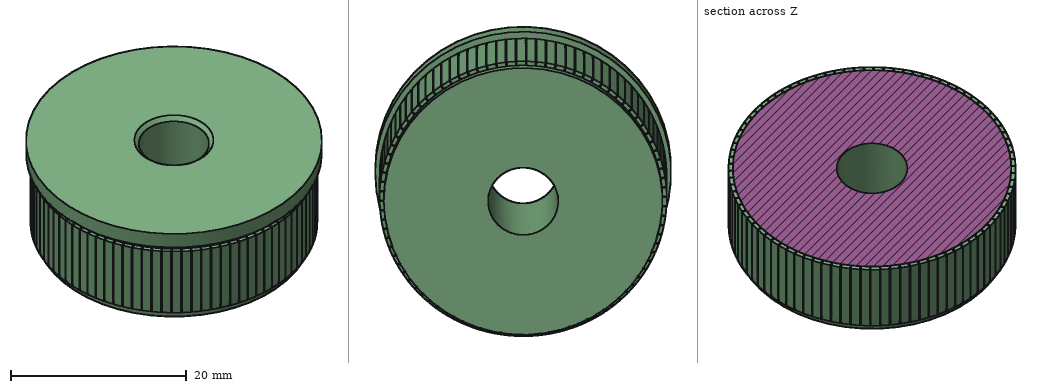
import cadquery as cq

flange_diameter = 33.7
core_diameter = 31.7
teeth_diameter = 32.7
bore_diameter = 8.0
bore_chamfer = 0.5

total_height = 13.0
flange_height = 2.0
teeth_bottom = 1.0
teeth_height = 9.0

tooth_count = 90
tooth_width = 1.0
tooth_root_overlap = 0.35


def make_body():
    """Cylindrical core with a wider flange at its upper end."""
    core = cq.Workplane("XY").circle(core_diameter / 2).extrude(total_height)
    flange = (
        cq.Workplane("XY", origin=(0, 0, total_height - flange_height))
        .circle(flange_diameter / 2)
        .extrude(flange_height)
    )
    return core.union(flange)


def make_teeth():
    """Flat-topped rectangular teeth spaced evenly around Z, one of them centred on +X."""
    root_radius = core_diameter / 2 - tooth_root_overlap
    tooth_length = teeth_diameter / 2 - root_radius
    pitch_angle = 360 / tooth_count

    first_tooth = (
        cq.Workplane("XY", origin=(root_radius, 0, teeth_bottom))
        .box(tooth_length, tooth_width, teeth_height, centered=(False, True, False))
        .val()
    )
    axis_start = cq.Vector(0, 0, 0)
    axis_end = cq.Vector(0, 0, 1)
    return [first_tooth.rotate(axis_start, axis_end, index * pitch_angle) for index in range(tooth_count)]


def cut_bore(part):
    """Through bore, chamfered where it opens on the flange."""
    bored = part.faces(">Z").workplane().circle(bore_diameter / 2).cutThruAll()
    bore_rim = bored.faces(">Z").edges(cq.selectors.RadiusNthSelector(0))
    return bore_rim.chamfer(bore_chamfer)


body = make_body()
toothed_body = cq.Workplane(body.val().fuse(*make_teeth()))
result = cut_bore(toothed_body)